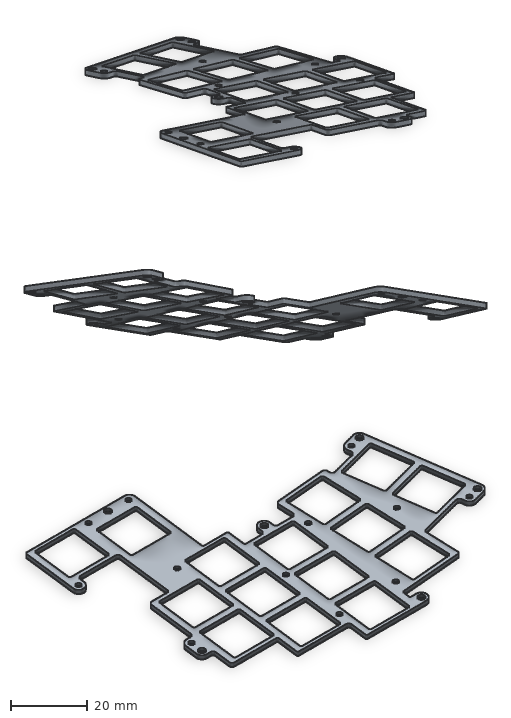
import cadquery as cq
import math

thickness = 1.5
window_size = 14.0
window_radius = 0.5
row_pitch = 16.0
side_margin = 9.2
ring_side_margin = 9.3
end_margin = 8.1
wide_end_margin = 8.3
corner_radius = 1.0
small_radius = 0.4
tab_radius = 1.9

screw_diameter = 2.2
pin_diameter = 1.7

outer_column = (13.7, 43.1)
outer_tilt = 15.0
ring_column = (33.8, 51.8)
ring_tilt = 5.0
middle_column = (53.5, 59.8)
index_column = (71.5, 52.9)
inner_column = (87.5, 52.8)
thumb_key = (80.5, 12.2)
edge_thumb_key = (98.5, 8.1)

two_row_half_length = row_pitch / 2 + wide_end_margin
ring_half_length = row_pitch + wide_end_margin
index_half_length = row_pitch + end_margin

plate_right = edge_thumb_key[0] + side_margin
plate_bottom = edge_thumb_key[1] - end_margin
middle_left = 44.0
middle_right = middle_column[0] + side_margin
middle_top = middle_column[1] + row_pitch + end_margin
middle_bottom = middle_column[1] - row_pitch - wide_end_margin
index_left = index_column[0] - side_margin
index_right = index_column[0] + side_margin
index_top = index_column[1] + index_half_length
index_bottom = index_column[1] - index_half_length
inner_right = inner_column[0] + side_margin
inner_top = inner_column[1] + two_row_half_length
inner_bottom = inner_column[1] - two_row_half_length
thumb_left = 71.1
thumb_neck_right = thumb_key[0] + side_margin
thumb_top = edge_thumb_key[1] + wide_end_margin

top_screw = (41.8, middle_top - tab_radius)
bottom_screw = (middle_column[0], 33.2)
side_screw = (99.0, 59.9)
side_pin = (99.0, 55.8)
thumb_pin = (plate_right - tab_radius, 18.8)
thumb_screw = (80.3, 1.7)
thumb_pin_spacing = 7.0
thumb_pin_height = 1.9
outer_screw_offset = -7.2
outer_pin_offset = -3.3
outer_hole_reach = 18.5

upper_pin_height = 72.8
field_pins = [
    (22.8, 50.8),
    (42.6, upper_pin_height),
    (44.3, 40.1),
    (index_left, upper_pin_height),
    (index_left, 51.7),
    (82.0, 30.9),
]


def place(centre, tilt, across, along):
    """Plate position of a point given across and along a tilted column."""
    angle = math.radians(tilt)
    x = centre[0] + across * math.cos(angle) - along * math.sin(angle)
    y = centre[1] + across * math.sin(angle) + along * math.cos(angle)
    return (x, y)


def outer(across, along):
    return place(outer_column, outer_tilt, across, along)


def ring(across, along):
    return place(ring_column, ring_tilt, across, along)


def crossing(line_a, line_b):
    """Point where two lines meet, each line given by two points."""
    (ax, ay), (bx, by) = line_a
    (cx, cy), (dx, dy) = line_b
    ux, uy = bx - ax, by - ay
    vx, vy = dx - cx, dy - cy
    t = ((cx - ax) * vy - (cy - ay) * vx) / (ux * vy - uy * vx)
    return (ax + t * ux, ay + t * uy)


def corner_arc(before, corner, after, radius):
    """Start, middle and end of the arc that rounds one corner."""
    back = cq.Vector(*before) - cq.Vector(*corner)
    ahead = cq.Vector(*after) - cq.Vector(*corner)
    half_angle = back.getAngle(ahead) / 2
    setback = radius / math.tan(half_angle)
    apex_distance = radius / math.sin(half_angle) - radius
    tip = cq.Vector(*corner)
    start = tip + back.normalized() * setback
    middle = tip + (back.normalized() + ahead.normalized()).normalized() * apex_distance
    end = tip + ahead.normalized() * setback
    return start, middle, end


def rounded_outline(corners):
    """Closed outline through (point, radius) corners."""
    points = [point for point, radius in corners]
    arcs = []
    for i, (point, radius) in enumerate(corners):
        following = points[(i + 1) % len(points)]
        arcs.append(corner_arc(points[i - 1], point, following, radius))
    edges = []
    for i, (start, middle, end) in enumerate(arcs):
        previous_end = arcs[i - 1][2]
        if (start - previous_end).Length > 0.0001:
            edges.append(cq.Edge.makeLine(previous_end, start))
        edges.append(cq.Edge.makeThreePointArc(start, middle, end))
    return cq.Wire.assembleEdges(edges)


def plate_corners():
    """Corners of the plate outline, clockwise from the top screw tab."""
    outer_top = (outer(0, two_row_half_length), outer(1.1, two_row_half_length))
    outer_bottom = (outer(0, -two_row_half_length), outer(1.1, -two_row_half_length))
    ring_left = (ring(-ring_side_margin, 0), ring(-ring_side_margin, 1.1))
    ring_right = (ring(ring_side_margin, 0), ring(ring_side_margin, 1.1))
    ring_top = (ring(0, ring_half_length), ring(1.1, ring_half_length))
    middle_left_line = ((middle_left, 0), (middle_left, 1))
    middle_bottom_line = ((0, middle_bottom), (1, middle_bottom))
    outer_tab_side = outer_pin_offset + tab_radius
    outer_tab_end = outer_hole_reach + tab_radius
    outer_left = outer_screw_offset - tab_radius

    middle_and_fingers = [
        ((top_screw[0] - tab_radius, middle_top), tab_radius),
        ((middle_right, middle_top), small_radius),
        ((middle_right, index_top), corner_radius),
        ((index_right, index_top), small_radius),
        ((index_right, inner_top), small_radius),
        ((inner_right, inner_top), corner_radius),
        ((inner_right, side_screw[1] + tab_radius), corner_radius),
        ((side_screw[0] + tab_radius, side_screw[1] + tab_radius), tab_radius),
        ((side_pin[0] + tab_radius, side_pin[1] - tab_radius), tab_radius),
        ((inner_right, side_pin[1] - tab_radius), corner_radius),
        ((inner_right, inner_bottom), corner_radius),
    ]
    thumb_cluster = [
        ((thumb_neck_right, inner_bottom), small_radius),
        ((thumb_neck_right, thumb_top), corner_radius),
        ((thumb_pin[0] - tab_radius, thumb_top), corner_radius),
        ((thumb_pin[0] - tab_radius, thumb_pin[1] + tab_radius), tab_radius),
        ((plate_right, thumb_pin[1] + tab_radius), tab_radius),
        ((plate_right, plate_bottom), small_radius),
        ((thumb_left, plate_bottom), tab_radius),
        ((thumb_left, index_bottom), small_radius),
        ((index_left, index_bottom), small_radius),
        ((index_left, middle_bottom), small_radius),
    ]
    bottom_tab = [
        ((bottom_screw[0] + tab_radius, middle_bottom), corner_radius),
        ((bottom_screw[0] + tab_radius, bottom_screw[1] - tab_radius), tab_radius),
        ((bottom_screw[0] - tab_radius, bottom_screw[1] - tab_radius), tab_radius),
        ((bottom_screw[0] - tab_radius, middle_bottom), corner_radius),
    ]
    tilted_columns = [
        (crossing(ring_right, middle_bottom_line), corner_radius),
        (ring(ring_side_margin, -ring_half_length), corner_radius),
        (ring(-ring_side_margin, -ring_half_length), corner_radius),
        (crossing(outer_bottom, ring_left), corner_radius),
        (outer(outer_tab_side, -two_row_half_length), corner_radius),
        (outer(outer_tab_side, -outer_tab_end), tab_radius),
        (outer(outer_left, -outer_tab_end), tab_radius),
        (outer(outer_left, outer_tab_end), tab_radius),
        (outer(outer_tab_side, outer_tab_end), tab_radius),
        (outer(outer_tab_side, two_row_half_length), corner_radius),
        (crossing(outer_top, ring_left), small_radius),
        (ring(-ring_side_margin, ring_half_length), small_radius),
        (crossing(ring_top, middle_left_line), small_radius),
        ((middle_left, top_screw[1] - tab_radius), small_radius),
        ((top_screw[0] - tab_radius, top_screw[1] - tab_radius), tab_radius),
    ]
    return middle_and_fingers + thumb_cluster + bottom_tab + tilted_columns


def key_windows(centre, tilt, key_count):
    """Cutter for a column of evenly spaced square openings."""
    return (
        cq.Workplane("XY")
        .rarray(1.1, row_pitch, 1, key_count)
        .rect(window_size, window_size)
        .extrude(thickness)
        .edges("|Z")
        .fillet(window_radius)
        .rotate((0, 0, 0), (0, 0, 1), tilt)
        .translate((centre[0], centre[1], 0))
    )


def round_holes(points, diameter):
    return cq.Workplane("XY").pushPoints(points).circle(diameter / 2).extrude(thickness)


screw_holes = [
    top_screw,
    bottom_screw,
    side_screw,
    thumb_screw,
    outer(outer_screw_offset, outer_hole_reach),
    outer(outer_screw_offset, -outer_hole_reach),
]
pin_holes = [
    side_pin,
    thumb_pin,
    (thumb_screw[0] - thumb_pin_spacing, thumb_pin_height),
    (thumb_screw[0] + thumb_pin_spacing, thumb_pin_height),
    outer(outer_pin_offset, outer_hole_reach),
    outer(outer_pin_offset, -outer_hole_reach),
] + field_pins

plate = cq.Solid.extrudeLinear(rounded_outline(plate_corners()), [], cq.Vector(0, 0, thickness))
result = cq.Workplane("XY").add(plate)

key_columns = [
    (outer_column, outer_tilt, 2),
    (ring_column, ring_tilt, 3),
    (middle_column, 0, 3),
    (index_column, 0, 3),
    (inner_column, 0, 2),
    (thumb_key, 0, 1),
    (edge_thumb_key, 0, 1),
]
for centre, tilt, key_count in key_columns:
    result = result.cut(key_windows(centre, tilt, key_count))

result = result.cut(round_holes(screw_holes, screw_diameter))
result = result.cut(round_holes(pin_holes, pin_diameter))